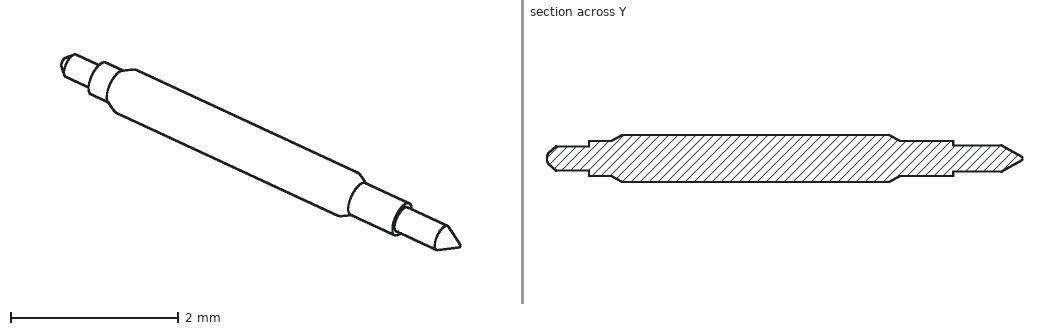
import cadquery as cq
import math

length = 5.69

body_radius = 0.285
collar_radius = 0.21
rear_plunger_radius = 0.15
front_plunger_radius = 0.16
rear_dome_radius = 0.06
front_dome_radius = 0.02

rear_dome_end = 0.015
rear_cone_end = 0.115
rear_collar_start = 0.505
rear_taper_start = 0.77
front_taper_end = 4.23
front_collar_end = 4.86
front_cone_start = 5.435
front_dome_start = length - 0.01

shoulder_length = 0.135
shoulder_round = 0.07
shoulder_slope = math.atan2(body_radius - collar_radius, shoulder_length)
tangent_length = shoulder_round * math.tan(shoulder_slope / 2)


def add_shoulder(outline, corner_x, outward, rising):
    """Round one shoulder corner; outward is -1 towards the rear, +1 towards the front."""
    taper_point = (
        corner_x + outward * tangent_length * math.cos(shoulder_slope),
        body_radius - tangent_length * math.sin(shoulder_slope),
    )
    body_point = (corner_x - outward * tangent_length, body_radius)
    center_x = body_point[0]
    center_radius = body_radius - shoulder_round
    middle = (
        center_x + outward * shoulder_round * math.sin(shoulder_slope / 2),
        center_radius + shoulder_round * math.cos(shoulder_slope / 2),
    )
    start, end = (taper_point, body_point) if rising else (body_point, taper_point)
    return outline.lineTo(*start).threePointArc(middle, end)


def dome_middle(apex_x, rim_x, rim_radius):
    """Midpoint of the spherical arc between an apex on the axis and its rim."""
    height = abs(rim_x - apex_x)
    sphere_radius = (rim_radius**2 + height**2) / (2 * height)
    half_angle = math.asin(rim_radius / sphere_radius) / 2
    inward = math.copysign(1, rim_x - apex_x)
    x = apex_x + inward * sphere_radius * (1 - math.cos(half_angle))
    return (x, sphere_radius * math.sin(half_angle))


outline = (
    cq.Workplane("XY")
    .moveTo(0, 0)
    .threePointArc(
        dome_middle(0, rear_dome_end, rear_dome_radius),
        (rear_dome_end, rear_dome_radius),
    )
    .lineTo(rear_cone_end, rear_plunger_radius)
    .lineTo(rear_collar_start, rear_plunger_radius)
    .lineTo(rear_collar_start, collar_radius)
    .lineTo(rear_taper_start, collar_radius)
)

outline = add_shoulder(outline, rear_taper_start + shoulder_length, -1, True)
outline = add_shoulder(outline, front_taper_end - shoulder_length, 1, False)

outline = (
    outline.lineTo(front_taper_end, collar_radius)
    .lineTo(front_collar_end, collar_radius)
    .lineTo(front_collar_end, front_plunger_radius)
    .lineTo(front_cone_start, front_plunger_radius)
    .lineTo(front_dome_start, front_dome_radius)
    .threePointArc(
        dome_middle(length, front_dome_start, front_dome_radius),
        (length, 0),
    )
    .close()
)

result = outline.revolve(360, (0, 0, 0), (1, 0, 0))